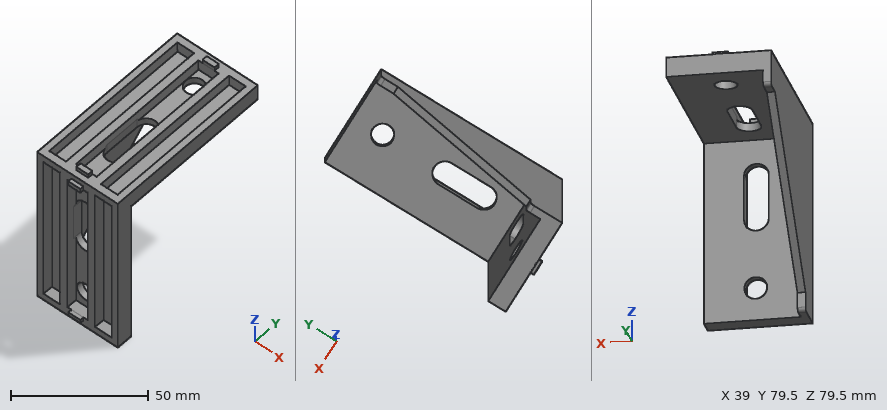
import cadquery as cq
import math

envelope = 79.5
tab_height = 1.75
leg_length = envelope - tab_height
width = 39.0

groove_depth = 4.4
web_thickness = 3.2
flange_thickness = groove_depth + web_thickness
gusset_thickness = 3.0
foot_depth = 13.6
foot_length = 7.15
foot_radius = 1.5

groove_inset = 0.4
groove_draft = math.degrees(math.atan2(groove_inset, groove_depth))
side_groove_width = 8.0
side_groove_offset = 12.5
side_groove_margin = 3.3
center_groove_width = 9.8

slot_start = 16.85
slot_end = 42.85
slot_width = 9.2
hole_diameter = 8.4
hole_to_tip = 12.6
hole_offset = 0.2

tab_width = 5.8

top_face = cq.Plane(origin=(0, 0, 0), xDir=(0, 1, 0), normal=(0, 0, 1))
front_face = cq.Plane(origin=(0, 0, 0), xDir=(0, 0, -1), normal=(0, -1, 0))

face_layouts = [
    (top_face, (5.0, leg_length - 5.0), 2.4, 2.4),
    (front_face, (4.5, leg_length - 4.45), 2.1, 1.7),
]


def make_flange(plane):
    """Plain plate lying behind an outer face."""
    plate = cq.Workplane(plane).center(leg_length / 2, 0)
    return plate.rect(leg_length, width).extrude(-flange_thickness)


def make_gusset():
    """Triangular side plate with a rounded foot at each flange tip."""
    foot_inner = leg_length - foot_length
    outline = [
        (0, 0),
        (leg_length, 0),
        (leg_length, -foot_depth),
        (foot_inner, -foot_depth),
        (foot_depth, -foot_inner),
        (foot_depth, -leg_length),
        (0, -leg_length),
    ]
    plate = (
        cq.Workplane("YZ", origin=(-width / 2, 0, 0))
        .polyline(outline)
        .close()
        .extrude(gusset_thickness)
    )
    for y, z in [(leg_length, -foot_depth), (foot_depth, -leg_length)]:
        corner = cq.selectors.NearestToPointSelector((-width / 2 + gusset_thickness / 2, y, z))
        plate = plate.edges("|X").edges(corner).fillet(foot_radius)
    return plate


def make_groove(plane, start, end, groove_width, offset):
    """Drafted pocket between two distances from the corner."""
    middle = (start + end) / 2
    sketch = cq.Workplane(plane).center(middle, offset).rect(end - start, groove_width)
    return sketch.extrude(-groove_depth, taper=groove_draft)


def make_openings(plane):
    """Slot and hole through the flange."""
    slot = (
        cq.Workplane(plane)
        .center((slot_start + slot_end) / 2, 0)
        .slot2D(slot_end - slot_start, slot_width)
        .extrude(-flange_thickness)
    )
    hole = (
        cq.Workplane(plane)
        .center(leg_length - hole_to_tip, hole_offset)
        .circle(hole_diameter / 2)
        .extrude(-flange_thickness)
    )
    return slot.union(hole)


def make_tab(plane, start, length):
    """Locating tab standing on an outer face."""
    sketch = cq.Workplane(plane).center(start + length / 2, 0).rect(length, tab_width)
    return sketch.extrude(tab_height)


result = make_gusset()
for plane, _, _, _ in face_layouts:
    result = result.union(make_flange(plane))

for plane, (groove_start, groove_end), corner_tab, tip_tab in face_layouts:
    for offset in (-side_groove_offset, side_groove_offset):
        result = result.cut(
            make_groove(plane, side_groove_margin, leg_length - side_groove_margin, side_groove_width, offset)
        )
    result = result.cut(make_groove(plane, groove_start, groove_end, center_groove_width, 0))
    result = result.cut(make_openings(plane))
    result = result.union(make_tab(plane, groove_start - corner_tab, corner_tab))
    result = result.union(make_tab(plane, groove_end, tip_tab))